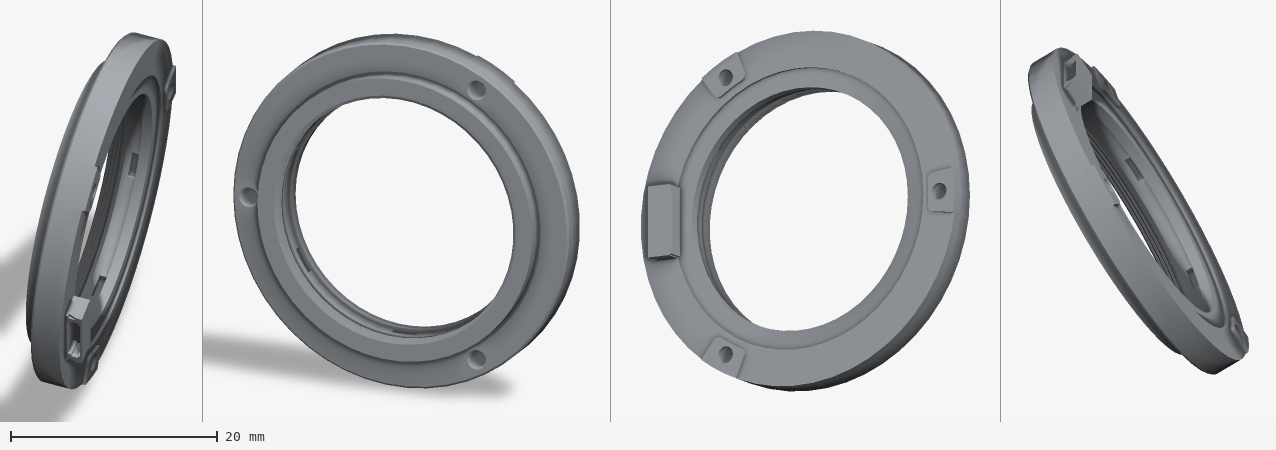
import cadquery as cq
import math


outer_diameter = 35.0
boss_diameter = 28.6
boss_length = 1.5
flange_thickness = 2.0
rim_chamfer = 0.2
relief_diameter = 29.2
relief_depth = 0.2

bore_diameter = 24.6
thread_diameter = 25.2
thread_pitch = 0.35
thread_count = 4
undercut_diameter = 26.2
undercut_width = 0.52

slot_count = 6
slot_depth_diameter = 26.2
slot_length = 0.8
slot_width = 2.6
slot_corner_radius = 0.35
first_slot_angle = 30.0

board_thickness = 1.0
board_bore_diameter = 24.0
hub_diameter = 27.8
hub_offset = 0.3

lug_angles = [0.0, 120.0, 240.0]
lug_spread = 14.6
lug_inner_diameter = 29.2
lug_corner_radius = 0.63
lug_rise = 0.3
screw_circle_diameter = 31.65
screw_core_diameter = 1.65
screw_thread_diameter = 2.0
screw_pitch = 0.4

housing_height = 1.68
housing_width = 7.03
housing_back_y = -13.12
housing_front_y = -15.75
back_step_length = 0.3
back_step_inset = 0.1

socket_width = 4.95
socket_height = 1.25
socket_floor = 0.25
socket_depth = 1.75
key_width = 5.5
key_height = 0.7
key_floor = 0.6

tab_width = 0.3
tab_thickness = 0.28
tab_length = 1.05
recess_flat_length = 0.75
recess_height = 1.1

undercut_x = (thread_count - 0.5) * thread_pitch
flange_face_x = boss_length
board_x = flange_face_x + flange_thickness
housing_x = board_x + board_thickness
hub_x = board_x - hub_offset
lug_top_x = housing_x + lug_rise


def disc(diameter, x_start, length):
    """Cylinder around the X axis."""
    return cq.Workplane("YZ", origin=(x_start, 0, 0)).circle(diameter / 2).extrude(length)


def ring(outside, inside, x_start, length):
    """Plain ring around the X axis."""
    return disc(outside, x_start, length).cut(disc(inside, x_start, length))


def thread_groove(core_diameter, groove_diameter, pitch, x_centre):
    """Ring-shaped V groove around the X axis, with root and crest flats of an eighth of the pitch."""
    core = core_diameter / 2
    root = groove_diameter / 2
    flat = pitch / 8
    flank = 3 * flat
    inner = core - flat
    half_mouth = flank + flat / 2
    profile = [
        (x_centre - half_mouth, inner),
        (x_centre - half_mouth, core),
        (x_centre - flat / 2, root),
        (x_centre + flat / 2, root),
        (x_centre + half_mouth, core),
        (x_centre + half_mouth, inner),
    ]
    return cq.Workplane("XY").polyline(profile).close().revolve(360, (0, 0, 0), (1, 0, 0))


def polar_point(radius, degrees):
    """Point in the YZ plane at an angle from +Y towards +Z."""
    angle = math.radians(degrees)
    return (radius * math.cos(angle), radius * math.sin(angle))


def make_lug(angle, length):
    """Ring segment with radial sides and rounded inner corners, standing on the back of the flange."""
    inner = lug_inner_diameter / 2
    outer = outer_diameter / 2
    half_spread = lug_spread / 2
    lug = (
        cq.Workplane("YZ", origin=(board_x, 0, 0))
        .moveTo(*polar_point(inner, -half_spread))
        .lineTo(*polar_point(outer, -half_spread))
        .threePointArc((outer, 0), polar_point(outer, half_spread))
        .lineTo(*polar_point(inner, half_spread))
        .threePointArc((inner, 0), polar_point(inner, -half_spread))
        .close()
        .extrude(length)
    )
    lug = lug.edges("|X").edges("<Y").fillet(lug_corner_radius)
    return lug.rotate((0, 0, 0), (1, 0, 0), angle)


def make_screw_hole(angle):
    """Tapped hole through the flange and the lug."""
    length = lug_top_x - flange_face_x
    groove_count = int(length / screw_pitch)
    hole = disc(screw_core_diameter, flange_face_x, length)
    for turn in range(groove_count):
        groove_x = flange_face_x + turn * screw_pitch
        hole = hole.union(thread_groove(screw_core_diameter, screw_thread_diameter, screw_pitch, groove_x))
    return hole.translate((0, screw_circle_diameter / 2, 0)).rotate((0, 0, 0), (1, 0, 0), angle)


def make_slot(angle):
    """Parallel-sided slot in the bore, with a concentric floor and rounded floor corners."""
    strip = cq.Workplane("XY").box(
        slot_length, slot_depth_diameter, slot_width, centered=(False, False, True)
    ).translate((hub_x - slot_length, 0, 0))
    slot = strip.intersect(disc(slot_depth_diameter, hub_x - slot_length, slot_length))
    slot = slot.edges("|X").edges(">Z or <Z").edges(">Y").fillet(slot_corner_radius)
    return slot.rotate((0, 0, 0), (1, 0, 0), angle)


def make_mount_ring():
    body = disc(outer_diameter, flange_face_x, flange_thickness).faces("<X").edges().chamfer(rim_chamfer)
    body = body.cut(ring(relief_diameter, boss_diameter, flange_face_x, relief_depth))
    body = body.union(disc(boss_diameter, 0, board_x))
    for angle in lug_angles:
        body = body.union(make_lug(angle, lug_top_x - board_x))

    body = body.cut(disc(bore_diameter, 0, board_x))
    for turn in range(thread_count):
        body = body.cut(thread_groove(bore_diameter, thread_diameter, thread_pitch, turn * thread_pitch))
    body = body.cut(disc(hub_diameter, hub_x, hub_offset))
    body = body.cut(disc(undercut_diameter, undercut_x, undercut_width))

    for index in range(slot_count):
        angle = first_slot_angle + index * 360 / slot_count
        body = body.cut(make_slot(angle))
    for angle in lug_angles:
        body = body.cut(make_screw_hole(angle))
    return body


def make_board():
    board = ring(outer_diameter, hub_diameter, board_x, board_thickness)
    board = board.union(ring(hub_diameter, board_bore_diameter, hub_x, board_thickness))
    for angle in lug_angles:
        board = board.cut(make_lug(angle, board_thickness))
    return board


def block(x_start, height, y_start, y_end, width):
    """Box symmetric about Z = 0."""
    return cq.Workplane("XY").box(
        height, y_end - y_start, width, centered=(False, False, True)
    ).translate((x_start, y_start, 0))


def make_end_recess(side):
    """Recess for a solder tab at the +Z (side = 1) or -Z (side = -1) end of the housing."""
    tab_back_y = housing_front_y + tab_length
    outline = [
        (housing_x, housing_front_y),
        (housing_x + recess_height, housing_front_y),
        (housing_x + tab_thickness, tab_back_y - recess_flat_length),
        (housing_x + tab_thickness, tab_back_y),
        (housing_x, tab_back_y),
    ]
    depth_start = side * (housing_width / 2 - tab_width)
    return (
        cq.Workplane("XY", origin=(0, 0, depth_start)).polyline(outline).close().extrude(side * tab_width)
    )


def make_housing():
    body = block(housing_x, housing_height, housing_front_y, housing_back_y - back_step_length, housing_width)
    back_width = housing_width - 2 * back_step_inset
    body = body.union(
        block(housing_x, housing_height, housing_back_y - back_step_length, housing_back_y, back_width)
    )
    socket_back_y = housing_front_y + socket_depth
    body = body.cut(block(housing_x + socket_floor, socket_height, housing_front_y, socket_back_y, socket_width))
    body = body.cut(block(housing_x + key_floor, key_height, housing_front_y, socket_back_y, key_width))
    for side in (1, -1):
        body = body.cut(make_end_recess(side))
    return body


def make_tab(side):
    tab = block(housing_x, tab_thickness, housing_front_y, housing_front_y + tab_length, tab_width)
    return tab.translate((0, 0, side * (housing_width - tab_width) / 2))


mount_ring = make_mount_ring()
board = make_board()
housing = make_housing()
tabs = [make_tab(side) for side in (1, -1)]

result = cq.Compound.makeCompound(
    [mount_ring.val(), board.val(), housing.val(), *[tab.val() for tab in tabs]]
)